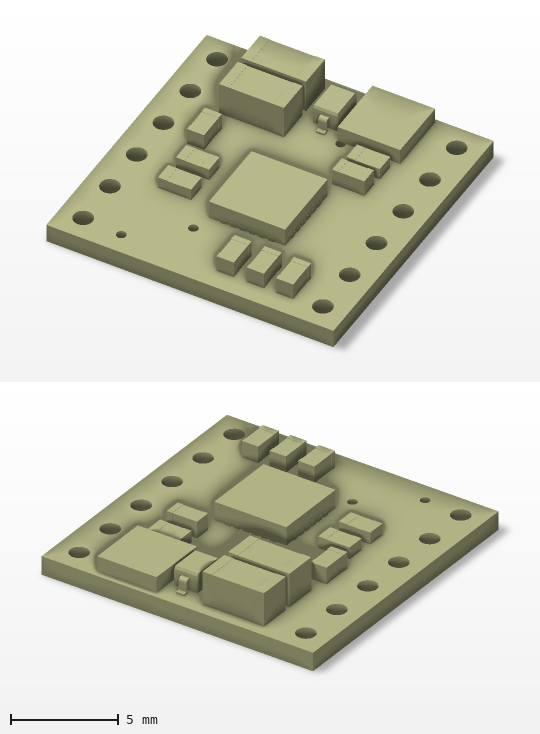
import cadquery as cq

board_side = 15.24
board_thickness = 1.0
overlap = 0.02

pin_pitch = 2.55
pins_per_row = 6
pin_row_spacing = 5 * pin_pitch
pin_hole_diameter = 1.0
via_diameter = 0.5
via_centers = [(-4.25, -6.52), (-1.55, -4.5), (1.52, 4.0)]

large_capacitor = dict(length=3.45, width=1.78, height=1.81, cap_length=0.52, top_step=0.02, side_step=0.02)
small_capacitor = dict(length=1.7, width=0.91, height=0.9, cap_length=0.3, top_step=0.02, side_step=0.02)
resistor = dict(length=1.77, width=0.99, height=0.64, cap_length=0.45, top_step=0.02, side_step=0)

large_capacitor_centers = [(-2.71, 6.1), (-2.71, 4.0)]
resistor_centers = [(-3.45, -0.7), (-3.49, -2.33), (3.45, 3.19)]
lying_capacitor_centers = [(3.41, 1.78)]
standing_capacitor_centers = [(-4.25, 1.39), (1.3, -5.73), (2.9, -5.73), (4.45, -5.73)]

standoff = 0.05
driver_side = 4.04
driver_top = 1.04
driver_center = (0.76, -1.52)
contact_pitch = 0.5
contacts_per_side = 6
contact_width = 0.3
contact_height = 0.25
contact_length = 0.4
contact_relief = 0.008
coil_side = 3.32
coil_top = 0.9
coil_center = (2.99, 5.72)
coil_pad_inset = 0.15

diode_center = (0.37, 5.49)
diode_width = 1.33
diode_length = 1.81
diode_top = 1.11
diode_shoulder = 0.98
diode_parting = 0.78
diode_bottom = 0.08
diode_side_draft = 0.02
diode_top_inset = (0.03, 0.09)
lead_width = 0.44
lead_thickness = 0.1
lead_bend_radius = 0.18
lead_foot_radius = 0.06
lead_span = 2.75
lead_shin_span = 2.35


def box_on_board(length, width, bottom, top, center=(0, 0)):
    """Box between two heights above the board top."""
    return (
        cq.Workplane("XY", origin=(center[0], center[1], board_thickness + bottom))
        .rect(length, width)
        .extrude(top - bottom)
    )


def make_board():
    board = cq.Workplane("XY").rect(board_side, board_side).extrude(board_thickness)
    pins = (
        cq.Workplane("XY")
        .rarray(pin_row_spacing, pin_pitch, 2, pins_per_row)
        .circle(pin_hole_diameter / 2)
        .extrude(board_thickness)
    )
    vias = cq.Workplane("XY").pushPoints(via_centers).circle(via_diameter / 2).extrude(board_thickness)
    return board.cut(pins).cut(vias)


def make_chip(center, angle, length, width, height, cap_length, top_step, side_step):
    """Two end caps on a slightly smaller body, its length along X before turning."""
    chip = box_on_board(length - 2 * cap_length, width - 2 * side_step, -overlap, height - top_step)
    cap_offset = (length - cap_length) / 2
    for x in (-cap_offset, cap_offset):
        chip = chip.union(box_on_board(cap_length, width, -overlap, height, (x, 0)))
    return chip.rotate((0, 0, 0), (0, 0, 1), angle).translate((center[0], center[1], 0))


def make_driver():
    """Square package with a row of contacts along the foot of each side."""
    driver = box_on_board(driver_side, driver_side, standoff, driver_top)
    contact_x = driver_side / 2 + contact_relief - contact_length / 2
    for side in range(4):
        for i in range(contacts_per_side):
            y = (i - (contacts_per_side - 1) / 2) * contact_pitch
            contact = box_on_board(contact_length, contact_width, -overlap, contact_height, (contact_x, y))
            driver = driver.union(contact.rotate((0, 0, 0), (0, 0, 1), 90 * side))
    return driver.translate((driver_center[0], driver_center[1], 0))


def make_coil():
    body = box_on_board(coil_side, coil_side, standoff, coil_top, coil_center)
    pad_side = coil_side - 2 * coil_pad_inset
    return body.union(box_on_board(pad_side, pad_side, -overlap, standoff, coil_center))


def tapered_block(lower, upper, start, end):
    """Block lofted from the lower rectangle at height start to the upper one at height end."""
    return (
        cq.Workplane("XY", origin=(0, 0, board_thickness + start))
        .rect(*lower)
        .workplane(offset=end - start)
        .rect(*upper)
        .loft()
    )


def make_lead():
    """Gull-wing lead leaving the +Y end of the diode at its parting height."""
    shin = lead_shin_span / 2
    inner_shin = shin - lead_thickness
    toe = lead_span / 2
    profile = (
        cq.Workplane("YZ", origin=(-lead_width / 2, 0, board_thickness))
        .moveTo(0, diode_parting)
        .lineTo(shin - lead_bend_radius, diode_parting)
        .radiusArc((shin, diode_parting - lead_bend_radius), lead_bend_radius)
        .lineTo(shin, lead_thickness + lead_foot_radius)
        .radiusArc((shin + lead_foot_radius, lead_thickness), -lead_foot_radius)
        .lineTo(toe, lead_thickness)
        .lineTo(toe, -overlap)
        .lineTo(inner_shin, -overlap)
        .lineTo(inner_shin, diode_parting - lead_thickness)
        .lineTo(0, diode_parting - lead_thickness)
        .close()
    )
    return profile.extrude(lead_width)


def make_diode():
    parting = (diode_width, diode_length)
    drafted = [side - 2 * diode_side_draft for side in parting]
    top = [side - 2 * inset for side, inset in zip(parting, diode_top_inset)]
    diode = tapered_block(drafted, parting, diode_bottom, diode_parting)
    diode = diode.union(tapered_block(parting, drafted, diode_parting, diode_shoulder))
    diode = diode.union(tapered_block(drafted, top, diode_shoulder, diode_top))
    lead = make_lead()
    diode = diode.union(lead).union(lead.mirror("XZ"))
    return diode.translate((diode_center[0], diode_center[1], 0))


result = make_board()
for center in large_capacitor_centers:
    result = result.union(make_chip(center, 0, **large_capacitor))
for center in resistor_centers:
    result = result.union(make_chip(center, 0, **resistor))
for center in lying_capacitor_centers:
    result = result.union(make_chip(center, 0, **small_capacitor))
for center in standing_capacitor_centers:
    result = result.union(make_chip(center, 90, **small_capacitor))
result = result.union(make_driver()).union(make_coil()).union(make_diode())